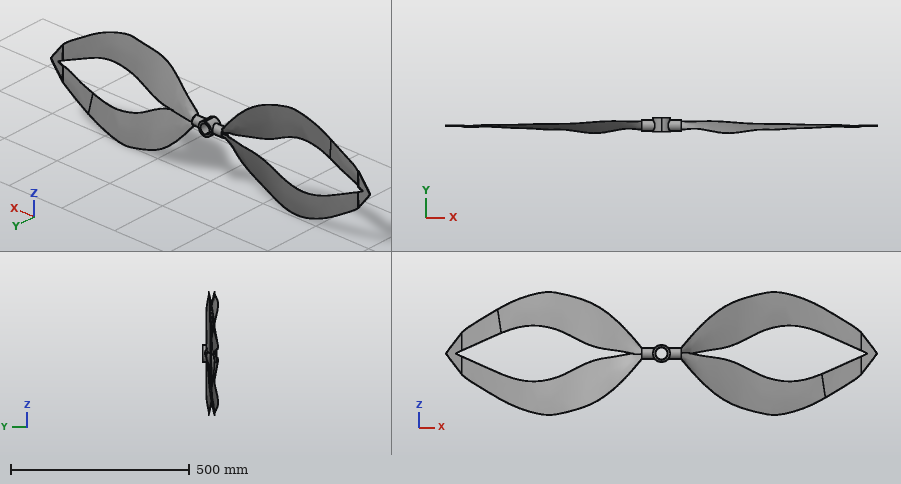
import cadquery as cq


HUB_RADIUS = 24.0
BORE_RADIUS = 17.0
HUB_BACK_Y = 22.0
HUB_FRONT_Y = -18.0
HUB_LENGTH = HUB_BACK_Y - HUB_FRONT_Y
SHAFT_RADIUS = 16.0
SHAFT_END_X = 56.0

TIP_X = 605.0
TIP_START_X = 560.0
TIP_SHOULDER_X = 598.0
TIP_SHOULDER_Z = 11.0
NOTCH_X = 577.0
TIP_THICKNESS = 2.0
TIP_OUTER_Z = 59.0
TIP_INNER_Z = 8.0
TIP_CENTRE_Y = -1.0

BLADE_STATIONS = [
    (SHAFT_END_X, 16.0, -1.0, 0.0, 12.0, 15.0),
    (102.0, 69.0, 4.0, 1.0, 11.0, 6.0),
    (157.0, 119.0, 12.0, -4.0, 16.0, 4.0),
    (194.0, 140.0, 20.0, -6.0, 16.0, 4.0),
    (242.0, 159.0, 42.0, -5.0, 11.0, 4.0),
    (315.0, 173.0, 73.0, -4.0, 8.0, 4.0),
    (375.0, 162.0, 77.0, -2.0, 6.0, 4.0),
    (417.0, 146.0, 69.0, -2.0, 5.0, 2.0),
    (460.0, 125.0, 53.0, -1.0, 4.0, 2.0),
    (508.0, 95.0, 31.0, -1.0, 2.0, 2.0),
    (TIP_START_X, TIP_OUTER_Z, TIP_INNER_Z, TIP_CENTRE_Y, 1.0, TIP_THICKNESS),
]


def blade_section(station, side):
    """Lens-shaped section in a plane of constant X; side is +1 above, -1 below."""
    x, outer_z, inner_z, middle_y, rise, thickness = station
    outer = cq.Vector(x, middle_y - side * rise, side * outer_z)
    inner = cq.Vector(x, middle_y + side * rise, side * inner_z)
    middle = (outer + inner) / 2
    across_chord = cq.Vector(1, 0, 0).cross(outer - inner).normalized()
    bulge = across_chord * (thickness / 2)
    return cq.Wire.assembleEdges([
        cq.Edge.makeThreePointArc(inner, middle + bulge, outer),
        cq.Edge.makeThreePointArc(outer, middle - bulge, inner),
    ])


def make_blade(side):
    sections = [blade_section(station, side) for station in BLADE_STATIONS]
    return cq.Workplane(obj=cq.Solid.makeLoft(sections))


def make_tip_plate():
    """Thin V-shaped plate that joins the ends of the two blades."""
    return (
        cq.Workplane("XZ", origin=(0, TIP_CENTRE_Y, 0))
        .moveTo(TIP_START_X, TIP_OUTER_Z)
        .lineTo(TIP_SHOULDER_X, TIP_SHOULDER_Z)
        .lineTo(TIP_X, 0)
        .lineTo(TIP_SHOULDER_X, -TIP_SHOULDER_Z)
        .lineTo(TIP_START_X, -TIP_OUTER_Z)
        .lineTo(TIP_START_X, -TIP_INNER_Z)
        .lineTo(NOTCH_X, 0)
        .lineTo(TIP_START_X, TIP_INNER_Z)
        .close()
        .extrude(TIP_THICKNESS / 2, both=True)
    )


def make_half_hub():
    """Half of the hub ring with its shaft, on the +X side."""
    shaft = cq.Workplane("YZ").circle(SHAFT_RADIUS).extrude(SHAFT_END_X)
    hub_plane = cq.Workplane("XZ", origin=(0, HUB_BACK_Y, 0))
    ring = hub_plane.circle(HUB_RADIUS).extrude(HUB_LENGTH)
    bore = hub_plane.circle(BORE_RADIUS).extrude(HUB_LENGTH)
    positive_x = cq.Workplane("XY").box(
        2 * HUB_RADIUS, 4 * HUB_RADIUS, 4 * HUB_RADIUS, centered=(False, True, True)
    )
    return ring.intersect(positive_x).union(shaft).cut(bore)


def make_propeller_half(angle):
    half = make_half_hub()
    for side in (1, -1):
        half = half.union(make_blade(side))
    half = half.union(make_tip_plate())
    return half.rotate((0, 0, 0), (0, 1, 0), angle)


propeller_halves = [make_propeller_half(angle) for angle in (0, 180)]
result = cq.Compound.makeCompound([half.solids().val() for half in propeller_halves])